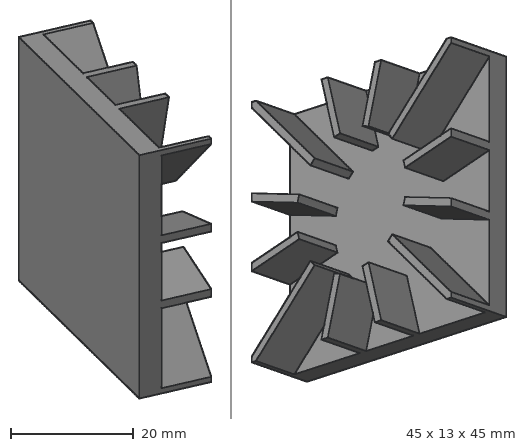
import cadquery as cq

side = 45.0
depth = 13.0
plate_thickness = 4.0
fin_height = depth - plate_thickness
fin_thickness = 1.4
hub_radius = 12.38
fin_count = 12
fin_pitch = 360 / fin_count
first_fin_angle = fin_pitch / 2

plate = cq.Workplane("XY").box(side, plate_thickness, side).translate((0, plate_thickness / 2, 0))


def radial_fin(angle):
    """Fin running from the plate centre out past its edges, at an angle about Y."""
    fin = cq.Workplane("XY").box(side, fin_height, fin_thickness, centered=(False, False, True))
    return fin.translate((0, plate_thickness, 0)).rotate((0, 0, 0), (0, 1, 0), angle)


fins = radial_fin(first_fin_angle)
for index in range(1, fin_count):
    fins = fins.union(radial_fin(first_fin_angle + index * fin_pitch))

envelope = cq.Workplane("XY").box(side, depth, side).translate((0, depth / 2, 0))
hub_clearance = (
    cq.Workplane("XZ", origin=(0, plate_thickness, 0))
    .circle(hub_radius)
    .extrude(-fin_height)
)
fins = fins.intersect(envelope).cut(hub_clearance)

result = plate.union(fins)